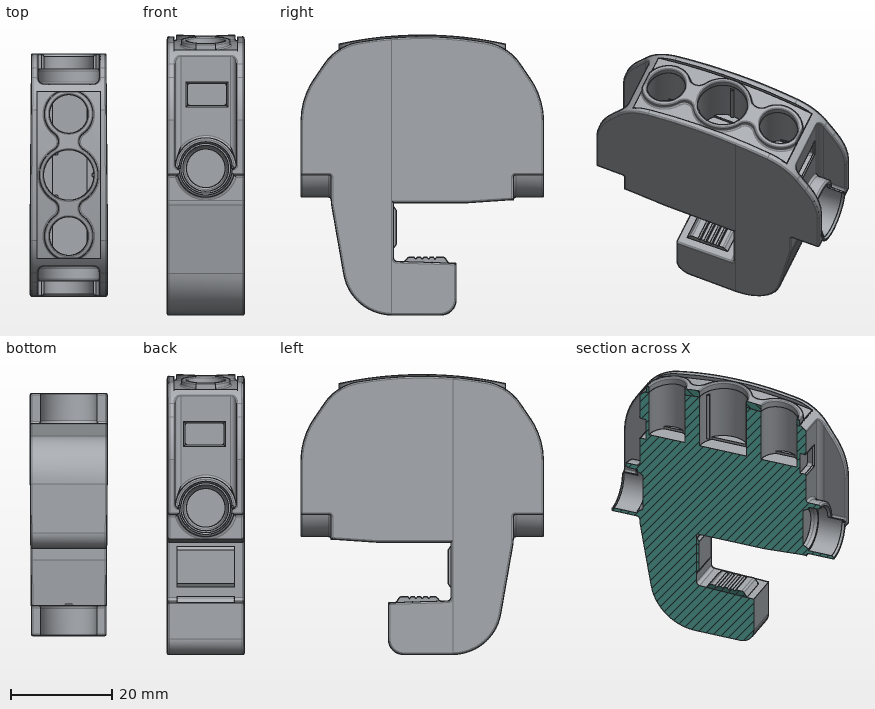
import cadquery as cq
import math


WIDTH = 15.2
LENGTH = 47.8
HEIGHT = 55.2
HALF_WIDTH = WIDTH / 2
HALF_LENGTH = LENGTH / 2
SIDE_FILLET = 0.35
CUT_CLEARANCE = 0.55
TOLERANCE = 0.005

CREST_Z = 54.85
CROWN_END = (12.85, 53.7)
SHOULDER_END = (19.25, 49.5)
SLOPE_END = (21.1, 46.85)
FLANK_TOP_Z = 38.4
SHOULDER_RADIUS = 9.95
FLANK_RADIUS = 15.0
WALL_Y = 17.95
LEDGE_Z = 27.6
LEDGE_FILLET = 0.45
LEDGE_EDGE_FILLET = 0.35
BELLY_EDGE_Z = 22.75
HIP_RADIUS = 5.5
BELLY_FLAT_Y = 9.0
BELLY_Z = 22.15
CLAMP_WALL_Y = -5.65
CLAMP_CORNER_FILLET = 0.65
JAW_ROOT_Z = 10.6
JAW_TIP = (6.7, 10.2)
JAW_TIP_RADIUS = 3.05
HEEL_BOTTOM_Y = -5.85
HEEL_TOP = (-15.5, 8.2)
HEEL_RADIUS = 9.7

TAPER_START_Y = -6.0
TAPER_END_HALF_WIDTH = 7.35

COVER_HALF_WIDTH = 6.3
COVER_HALF_LENGTH = 16.45
COVER_CREST_Z = 54.1
COVER_END_Z = 52.3
COVER_THICKNESS = 0.3
BAND_HEIGHT = HEIGHT - COVER_CREST_Z
BAND_BASE_FILLET = 0.3
BAND_TOP_FILLET = 0.2
RING_SPACING = 12.05
CENTER_RING_RADIUS = 5.8
END_RING_RADIUS = 4.8
NECK_RADIUS = 1.9
CENTER_HOLE_RADIUS = 4.95
END_HOLE_RADIUS = 3.8

WELL_FLOOR_Z = 43.05
WELL_SLOT_LEFT_X = -3.2
WELL_SLOT_RIGHT_X = 3.65
WELL_SLOT_DEPTH = 0.55
WELL_RIB_COUNT = 3
WELL_RIB_RADIUS = 0.4
WELL_RIB_TOP_Z = 53.0

POCKET_HALF_WIDTH = 6.0
POCKET_BOTTOM_Z = 28.9
POCKET_TOP_Z = 50.95
POCKET_RIM_FILLET = 0.3
POCKET_CORNER_RADIUS = 1.1
POCKET_FOOT_RADIUS = 0.65
WINDOW_CENTER = (0.2, 43.5)
WINDOW_WIDTH = 7.75
WINDOW_HEIGHT = 4.35
WINDOW_DEPTH = 1.4
WINDOW_CORNER_RADIUS = 0.55
WINDOW_RIM_CHAMFER = 0.3
WINDOW_RIM_ANGLE = 45

SOCKET_RADIUS = 5.7
SOCKET_BASE_FILLET = 0.55
SOCKET_EDGE_FILLET = 0.3
ARCH_RADIUS = 6.0
ARCH_END_Y = 20.9
ARCH_BASE_FILLET = 0.45
ARCH_EDGE_FILLET = 0.4
RAIL_X = 5.0
RAIL_RADIUS = 0.4
RAIL_RISE = 0.15
RAIL_END_Y = 23.6
BOSS_ROOT = 0.3
BORE_RADIUS = 4.9
BORE_FLOOR_Y = 18.45
MOUTH_RADIUS = 5.25
MOUTH_LENGTH = 0.5
SEAT_OUTER_RADIUS = 4.5
SEAT_LIP_RADIUS = 4.2
SEAT_LIP_Y = 17.8
SEAT_RADIUS = 3.8
SEAT_FLOOR_Y = 17.2

PAD_WIDTH = 11.25
PAD_FILLET = 0.55
JAW_PAD_START_Y = -3.55
JAW_PAD_END_Y = 5.2
JAW_PAD_TOP_Z = 11.4
JAW_PAD_BEVEL = 0.85
GROOVE_COUNT = 4
GROOVE_PITCH = 1.25
GROOVE_CENTER_Y = 0.6
GROOVE_WIDTH = 0.65
GROOVE_DEPTH = 0.4
WALL_PAD_BOTTOM_Z = 13.3
WALL_PAD_TOP_Z = 21.25
WALL_PAD_THICKNESS = 0.55
WALL_PAD_BEVEL_HEIGHT = 0.65
WALL_PAD_BEVEL_DEPTH = 0.45


def box_between(x_range, y_range, z_range):
    """Box from its lower and upper limits along each axis."""
    sizes = [high - low for low, high in (x_range, y_range, z_range)]
    corner = (x_range[0], y_range[0], z_range[0])
    return cq.Workplane("XY").box(*sizes, centered=False).translate(corner)


def y_cylinder(radius, start_y, end_y):
    """Cylinder along Y on the axis of the +Y socket."""
    disc = cq.Workplane("XZ", origin=(0, start_y, POCKET_BOTTOM_Z)).circle(radius)
    return disc.extrude(start_y - end_y)


def at_both_ends(shape):
    """The +Y end shape together with its mirror copy at the -Y end."""
    return [shape, shape.mirror("XZ")]


def mirrored(point):
    """The (Y, Z) point on the opposite side of the middle."""
    return (-point[0], point[1])


def fillet_edge(solid, y, z, radius):
    """Round the edge that runs across the width at the given Y and Z."""
    return solid.edges(cq.selectors.NearestToPointSelector((0, y, z))).fillet(radius)


def round_side_edges(blank):
    """Round the rim of both flanks, leaving the crease where the taper starts."""
    rim = []
    for edge in blank.edges("not |X").vals():
        if abs(edge.Center().y - TAPER_START_Y) > TOLERANCE:
            rim.append(edge)
    return blank.newObject(rim).fillet(SIDE_FILLET)


def housing_blank():
    """Side outline extruded across the width, with tapered flanks and rounded side edges."""
    outline = (
        cq.Workplane("YZ", origin=(-HALF_WIDTH, 0, 0))
        .moveTo(*mirrored(CROWN_END))
        .threePointArc((0, CREST_Z), CROWN_END)
        .radiusArc(SHOULDER_END, SHOULDER_RADIUS)
        .lineTo(*SLOPE_END)
        .radiusArc((HALF_LENGTH, FLANK_TOP_Z), FLANK_RADIUS)
        .lineTo(HALF_LENGTH, LEDGE_Z)
        .lineTo(WALL_Y, LEDGE_Z)
        .lineTo(WALL_Y, BELLY_EDGE_Z)
        .lineTo(BELLY_FLAT_Y, BELLY_Z)
        .lineTo(CLAMP_WALL_Y, BELLY_Z)
        .lineTo(CLAMP_WALL_Y, JAW_ROOT_Z)
        .lineTo(*JAW_TIP)
        .lineTo(JAW_TIP[0], JAW_TIP_RADIUS)
        .radiusArc((JAW_TIP[0] - JAW_TIP_RADIUS, 0), JAW_TIP_RADIUS)
        .lineTo(HEEL_BOTTOM_Y, 0)
        .radiusArc(HEEL_TOP, HEEL_RADIUS)
        .lineTo(-WALL_Y, BELLY_Z)
        .lineTo(-WALL_Y, LEDGE_Z)
        .lineTo(-HALF_LENGTH, LEDGE_Z)
        .lineTo(-HALF_LENGTH, FLANK_TOP_Z)
        .radiusArc(mirrored(SLOPE_END), FLANK_RADIUS)
        .lineTo(*mirrored(SHOULDER_END))
        .radiusArc(mirrored(CROWN_END), SHOULDER_RADIUS)
        .close()
        .extrude(WIDTH)
    )
    for side in (-1, 1):
        outline = fillet_edge(outline, side * WALL_Y, LEDGE_Z, LEDGE_FILLET)
        outline = fillet_edge(outline, side * HALF_LENGTH, LEDGE_Z, LEDGE_EDGE_FILLET)
    outline = fillet_edge(outline, CLAMP_WALL_Y, JAW_ROOT_Z, CLAMP_CORNER_FILLET)
    outline = fillet_edge(outline, -WALL_Y, BELLY_Z, HIP_RADIUS)
    plan = (
        cq.Workplane("XY")
        .moveTo(-HALF_WIDTH, -HALF_LENGTH)
        .lineTo(HALF_WIDTH, -HALF_LENGTH)
        .lineTo(HALF_WIDTH, TAPER_START_Y)
        .lineTo(TAPER_END_HALF_WIDTH, HALF_LENGTH)
        .lineTo(-TAPER_END_HALF_WIDTH, HALF_LENGTH)
        .lineTo(-HALF_WIDTH, TAPER_START_Y)
        .close()
        .extrude(HEIGHT)
    )
    return round_side_edges(outline.intersect(plan))


def end_pocket():
    """Open pocket above the socket at the +Y end, with a shallow window in its floor."""
    pocket = (
        box_between(
            (-POCKET_HALF_WIDTH, POCKET_HALF_WIDTH),
            (WALL_Y, LENGTH),
            (POCKET_BOTTOM_Z, HEIGHT),
        )
        .edges("<Y and |Z")
        .fillet(POCKET_CORNER_RADIUS)
        .edges("<Z and |Y")
        .fillet(POCKET_FOOT_RADIUS)
    )
    window = (
        cq.Workplane("XZ", origin=(WINDOW_CENTER[0], WALL_Y, WINDOW_CENTER[1]))
        .rect(WINDOW_WIDTH, WINDOW_HEIGHT)
        .extrude(WINDOW_DEPTH)
        .edges("|Y")
        .fillet(WINDOW_CORNER_RADIUS)
    )
    rim = (
        cq.Workplane("XZ", origin=(WINDOW_CENTER[0], WALL_Y, WINDOW_CENTER[1]))
        .rect(WINDOW_WIDTH + 2 * WINDOW_RIM_CHAMFER, WINDOW_HEIGHT + 2 * WINDOW_RIM_CHAMFER)
        .extrude(WINDOW_RIM_CHAMFER, taper=WINDOW_RIM_ANGLE)
    )
    return pocket.union(window).union(rim)


def turned(profile):
    """Solid of revolution about the axis of the +Y socket, from an open profile of (radius, Y)."""
    return profile.close().revolve(360, (0, 0, 0), (0, 1, 0)).translate((0, 0, POCKET_BOTTOM_Z))


def flared_tube(radius, end_y, base_fillet, edge_fillet):
    """Solid round boss on the +Y wall with a concave base fillet and a rounded outer edge."""
    diagonal = math.sqrt(0.5)
    base_y = WALL_Y + base_fillet
    flare_middle = (
        radius + base_fillet * (1 - diagonal),
        base_y - base_fillet * diagonal,
    )
    edge_middle = (
        radius - edge_fillet * (1 - diagonal),
        end_y - edge_fillet * (1 - diagonal),
    )
    return turned(
        cq.Workplane("XY")
        .moveTo(0, WALL_Y - BOSS_ROOT)
        .lineTo(radius + base_fillet, WALL_Y - BOSS_ROOT)
        .lineTo(radius + base_fillet, WALL_Y)
        .threePointArc(flare_middle, (radius, base_y))
        .lineTo(radius, end_y - edge_fillet)
        .threePointArc(edge_middle, (radius - edge_fillet, end_y))
        .lineTo(0, end_y)
    )


def socket_body():
    """Long lower half of the +Y socket, the shorter arch that closes it above, and the rim rails."""
    lower = flared_tube(SOCKET_RADIUS, HALF_LENGTH, SOCKET_BASE_FILLET, SOCKET_EDGE_FILLET)
    below_axis = box_between((-HALF_WIDTH, HALF_WIDTH), (0, LENGTH), (0, POCKET_BOTTOM_Z))
    arch = flared_tube(ARCH_RADIUS, ARCH_END_Y, ARCH_BASE_FILLET, ARCH_EDGE_FILLET)
    arch_mouth = [
        (0, ARCH_END_Y - MOUTH_LENGTH),
        (BORE_RADIUS, ARCH_END_Y - MOUTH_LENGTH),
        (MOUTH_RADIUS, ARCH_END_Y),
        (0, ARCH_END_Y),
    ]
    arch = arch.cut(turned(cq.Workplane("XY").polyline(arch_mouth)))
    in_pocket = box_between(
        (-POCKET_HALF_WIDTH, POCKET_HALF_WIDTH), (0, LENGTH), (POCKET_BOTTOM_Z, HEIGHT)
    )
    body = lower.intersect(below_axis).union(arch.intersect(in_pocket))
    for x in (-RAIL_X, RAIL_X):
        rail = y_cylinder(RAIL_RADIUS, WALL_Y, RAIL_END_Y).translate((x, 0, RAIL_RISE))
        body = body.union(rail)
    return body


def socket_bore():
    """Bore of the +Y socket, from its stepped seat to its flared mouth."""
    bore_profile = [
        (0, SEAT_FLOOR_Y),
        (SEAT_RADIUS, SEAT_FLOOR_Y),
        (SEAT_LIP_RADIUS, SEAT_LIP_Y),
        (SEAT_OUTER_RADIUS, BORE_FLOOR_Y),
        (BORE_RADIUS, BORE_FLOOR_Y),
        (BORE_RADIUS, HALF_LENGTH - MOUTH_LENGTH),
        (MOUTH_RADIUS, HALF_LENGTH),
        (0, HALF_LENGTH),
    ]
    return turned(cq.Workplane("XY").polyline(bore_profile))


RINGS = [
    (0, CENTER_RING_RADIUS, CENTER_HOLE_RADIUS),
    (RING_SPACING, END_RING_RADIUS, END_HOLE_RADIUS),
    (-RING_SPACING, END_RING_RADIUS, END_HOLE_RADIUS),
]


def z_cylinder(x, y, radius, bottom_z, top_z):
    """Upright cylinder between two heights."""
    return cq.Workplane("XY", origin=(x, y, bottom_z)).circle(radius).extrude(top_z - bottom_z)


def well(y, radius):
    """Round well with a slot across its floor."""
    shaft = z_cylinder(0, y, radius, WELL_FLOOR_Z, HEIGHT)
    slot = z_cylinder(0, y, radius, WELL_FLOOR_Z - WELL_SLOT_DEPTH, WELL_FLOOR_Z).intersect(
        box_between((WELL_SLOT_LEFT_X, WELL_SLOT_RIGHT_X), (-LENGTH, LENGTH), (0, HEIGHT))
    )
    return shaft.union(slot)


def well_ribs():
    """Upright ribs spaced evenly around the wall of the center well."""
    ribs = []
    for index in range(WELL_RIB_COUNT):
        angle = 2 * math.pi * index / WELL_RIB_COUNT
        x = CENTER_HOLE_RADIUS * math.cos(angle)
        y = CENTER_HOLE_RADIUS * math.sin(angle)
        ribs.append(z_cylinder(x, y, WELL_RIB_RADIUS, WELL_FLOOR_Z, WELL_RIB_TOP_Z))
    return ribs


def arched_block(half_length, rise):
    """Block of the cover's width whose top follows the cover's arch, moved outward by the rise."""
    drop = COVER_CREST_Z - COVER_END_Z
    arch_radius = (COVER_HALF_LENGTH**2 + drop**2) / (2 * drop)
    arch = (
        cq.Workplane("YZ", origin=(-HALF_WIDTH, 0, COVER_CREST_Z - arch_radius))
        .circle(arch_radius + rise)
        .extrude(WIDTH)
    )
    block = box_between(
        (-COVER_HALF_WIDTH, COVER_HALF_WIDTH),
        (-half_length, half_length),
        (WELL_FLOOR_Z, HEIGHT + CUT_CLEARANCE),
    )
    return block.intersect(arch)


def cover_recess():
    """Arched recess in the crown that receives the cover."""
    opening = box_between(
        (-COVER_HALF_WIDTH, COVER_HALF_WIDTH),
        (-COVER_HALF_LENGTH, COVER_HALF_LENGTH),
        (WELL_FLOOR_Z, HEIGHT),
    )
    return opening.cut(arched_block(HALF_LENGTH, -COVER_THICKNESS))


def make_housing():
    """Clip body with its end pockets, sockets, cover recess and wells."""
    body = housing_blank()
    for pocket in at_both_ends(end_pocket()):
        body = body.cut(pocket)
    for side in (-1, 1):
        body = fillet_edge(body, side * WALL_Y, POCKET_TOP_Z, POCKET_RIM_FILLET)
    for socket in at_both_ends(socket_body()):
        body = body.union(socket)
    for bore in at_both_ends(socket_bore()):
        body = body.cut(bore)
    body = body.cut(cover_recess())
    for y, _, hole_radius in RINGS:
        body = body.cut(well(y, hole_radius))
    for rib in well_ribs():
        body = body.union(rib)
    return body


def neck(direction):
    """Waist between the center ring and an end ring, tangent to both."""
    center_reach = CENTER_RING_RADIUS + NECK_RADIUS
    end_reach = END_RING_RADIUS + NECK_RADIUS
    y = (RING_SPACING**2 + center_reach**2 - end_reach**2) / (2 * RING_SPACING)
    x = math.sqrt(center_reach**2 - y**2)
    diamond = [(0, 0), (x, direction * y), (0, direction * RING_SPACING), (-x, direction * y)]
    waist = cq.Workplane("XY").polyline(diamond).close().extrude(HEIGHT)
    for side in (-x, x):
        waist = waist.cut(z_cylinder(side, direction * y, NECK_RADIUS, 0, HEIGHT))
    return waist


def arched_face(cover, opening_count):
    """The arched face of the cover that has the given number of openings in it."""
    arched = cover.faces("%CYLINDER").vals()
    return next(face for face in arched if len(face.innerWires()) == opening_count)


def make_cover():
    """Arched plate carrying the raised band of three joined rings."""
    band = neck(1).union(neck(-1))
    for y, ring_radius, _ in RINGS:
        band = band.union(z_cylinder(0, y, ring_radius, 0, HEIGHT))
    band = band.intersect(arched_block(HALF_LENGTH, BAND_HEIGHT))
    plate = arched_block(HALF_LENGTH, 0)
    for y, _, hole_radius in RINGS:
        hole = z_cylinder(0, y, hole_radius, 0, HEIGHT)
        band = band.cut(hole)
        plate = plate.cut(hole)
    cover = plate.union(band)
    band_foot = arched_face(cover, 1).innerWires()[0].Edges()
    cover = cover.newObject(band_foot).fillet(BAND_BASE_FILLET).intersect(cover_recess())
    band_rims = arched_face(cover, len(RINGS)).Edges()
    return cover.newObject(band_rims).fillet(BAND_TOP_FILLET)


def jaw_z(y):
    """Height of the sloping jaw face at a given Y."""
    slope = (JAW_TIP[1] - JAW_ROOT_Z) / (JAW_TIP[0] - CLAMP_WALL_Y)
    return JAW_ROOT_Z + slope * (y - CLAMP_WALL_Y)


def make_jaw_pad():
    """Bevelled pad on the jaw with V grooves running across it."""
    pad = (
        cq.Workplane("YZ", origin=(-PAD_WIDTH / 2, 0, 0))
        .moveTo(JAW_PAD_START_Y, jaw_z(JAW_PAD_START_Y))
        .lineTo(JAW_PAD_END_Y, jaw_z(JAW_PAD_END_Y))
        .lineTo(JAW_PAD_END_Y - JAW_PAD_BEVEL, JAW_PAD_TOP_Z)
        .lineTo(JAW_PAD_START_Y + JAW_PAD_BEVEL, JAW_PAD_TOP_Z)
        .close()
        .extrude(PAD_WIDTH)
        .faces(">Z")
        .edges("|X")
        .fillet(PAD_FILLET)
    )
    for index in range(GROOVE_COUNT):
        y = GROOVE_CENTER_Y + (index - (GROOVE_COUNT - 1) / 2) * GROOVE_PITCH
        groove = (
            cq.Workplane("YZ", origin=(-PAD_WIDTH / 2, 0, 0))
            .moveTo(y - GROOVE_WIDTH / 2, JAW_PAD_TOP_Z)
            .lineTo(y + GROOVE_WIDTH / 2, JAW_PAD_TOP_Z)
            .lineTo(y, JAW_PAD_TOP_Z - GROOVE_DEPTH)
            .close()
            .extrude(PAD_WIDTH)
        )
        pad = pad.cut(groove)
    return pad


def make_wall_pad():
    """Plain bevelled pad on the upright clamp wall."""
    return (
        box_between(
            (-PAD_WIDTH / 2, PAD_WIDTH / 2),
            (CLAMP_WALL_Y, CLAMP_WALL_Y + WALL_PAD_THICKNESS),
            (WALL_PAD_BOTTOM_Z, WALL_PAD_TOP_Z),
        )
        .faces(">Y")
        .edges("|X")
        .chamfer(WALL_PAD_BEVEL_HEIGHT, WALL_PAD_BEVEL_DEPTH)
    )


housing = make_housing()
cover = make_cover()
jaw_pad = make_jaw_pad()
wall_pad = make_wall_pad()

result = cq.Compound.makeCompound([housing.val(), cover.val(), jaw_pad.val(), wall_pad.val()])